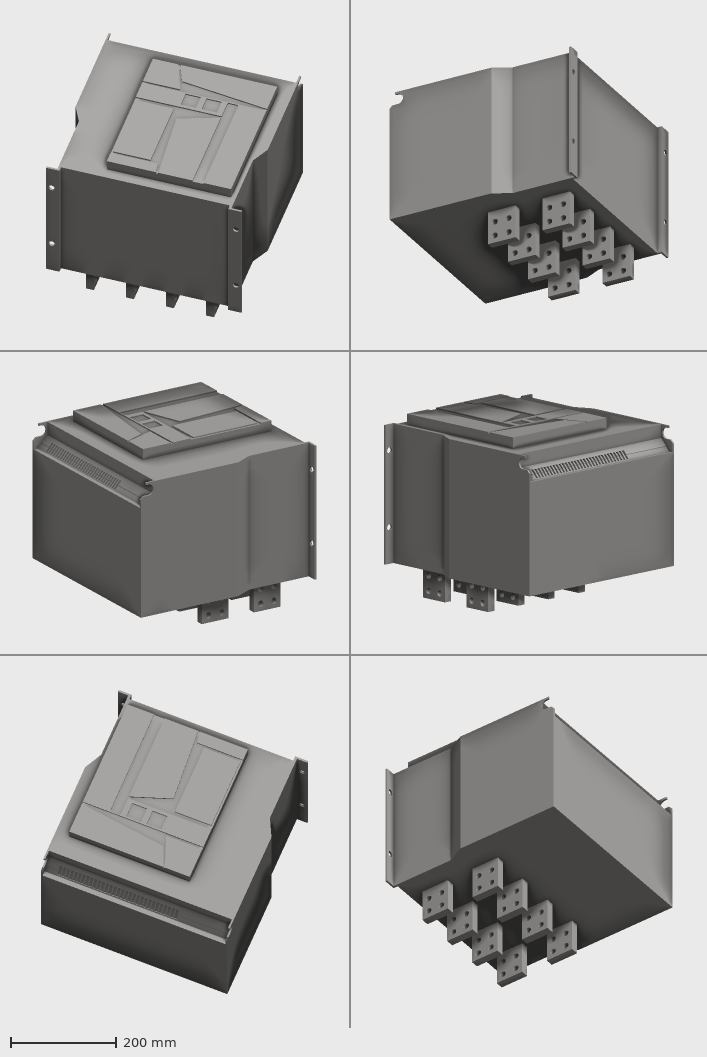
import cadquery as cq


depth = 394.0
housing_height = 272.0
rear_width = 383.8
front_width = 347.5
taper_start = 138.3
taper_end = 174.0
side_wall = 3.5
flange_leg = 5.0
flange_thickness = 4.0
front_recess = 10.0

flange_span = 390.0
flange_hole_diameter = 12.2
flange_hole_spacing = 368.0
flange_hole_heights = (71.0, 221.0)

notch_radius = 11.0
notch_depth = 28.8
notch_height = 256.0
lip_setback = 12.0
corner_chamfer = 6.0
slope_front = 31.5
slope_rear = 10.0
slope_step_setback = 18.0
slope_step = 1.0

vent_count = 31
vent_row_width = 245.0
vent_width = 5.0
vent_rear = 11.0
vent_front = 25.0
vent_depth = 4.0

panel_left = -84.0
panel_right = 164.3
panel_front = 31.0
panel_rear = 320.5
panel_height = 22.0
relief = 2.8
relief_draft = 1.0
panel_base_height = panel_height - relief

terminal_pitch = 80.0
terminal_count = 4
terminal_thickness = 16.0
terminal_width = 60.0
terminal_length = 69.0
terminal_row_fronts = (38.2, 156.0)
terminal_hole_diameter = 12.2
terminal_hole_spacing = 30.0

rear_half = rear_width / 2
front_half = front_width / 2
flange_half = flange_span / 2
slope_top = notch_height - notch_radius


def box(x_range, y_range, z_range):
    """Block filling the given ranges."""
    size = [high - low for low, high in (x_range, y_range, z_range)]
    corner = (x_range[0], y_range[0], z_range[0])
    return cq.Workplane("XY").box(*size, centered=False).translate(corner)


def make_housing():
    """Tapered housing whose side walls turn outward into flanges at the front."""
    right_side = [
        (front_half - flange_leg, front_recess),
        (front_half - flange_leg, 0),
        (flange_half, 0),
        (flange_half, flange_thickness),
        (front_half, flange_thickness),
        (front_half, taper_start),
        (rear_half, taper_end),
        (rear_half, depth),
    ]
    left_side = [(-x, y) for x, y in reversed(right_side)]
    return cq.Workplane("XY").polyline(right_side + left_side).close().extrude(housing_height)


def flange_holes():
    """Mounting holes through both flanges."""
    centres = [(side * flange_hole_spacing / 2, z) for side in (-1, 1) for z in flange_hole_heights]
    drills = cq.Workplane("XZ").pushPoints(centres).circle(flange_hole_diameter / 2)
    return drills.extrude(-flange_thickness)


def side_notch():
    """Round-ended notch through the rear top corner of both side walls."""
    arc_centre_y = depth - notch_depth + notch_radius
    notch_top = notch_height + notch_radius
    notch_bottom = notch_height - notch_radius
    profile = (
        cq.Workplane("YZ")
        .moveTo(depth, housing_height)
        .lineTo(depth - lip_setback, housing_height)
        .lineTo(depth - lip_setback, notch_top)
        .lineTo(arc_centre_y, notch_top)
        .threePointArc((depth - notch_depth, notch_height), (arc_centre_y, notch_bottom))
        .lineTo(depth - corner_chamfer, notch_bottom)
        .lineTo(depth, notch_bottom - corner_chamfer)
        .close()
    )
    return profile.extrude(rear_half, both=True)


def slope_height(setback):
    """Height of the 45 degree slope at a distance in front of the rear face."""
    return slope_top - (slope_front - setback)


def rear_opening():
    """Space between the side walls above the stepped 45 degree slope and the rear ledge."""
    outline = [
        (slope_front, housing_height),
        (slope_front, slope_top),
        (slope_step_setback, slope_height(slope_step_setback)),
        (slope_step_setback, slope_height(slope_step_setback) - slope_step),
        (slope_rear, slope_height(slope_rear) - slope_step),
        (0, slope_height(slope_rear) - slope_step),
        (0, housing_height),
    ]
    points = [(depth - setback, z) for setback, z in outline]
    return cq.Workplane("YZ").polyline(points).close().extrude(rear_half - side_wall, both=True)


def vent_slots():
    """Row of slots sunk square to the slope, centred on the operating panel."""
    sink = vent_depth / 2**0.5
    profile = [
        (depth - vent_rear, slope_height(vent_rear)),
        (depth - vent_front, slope_height(vent_front)),
        (depth - vent_front - sink, slope_height(vent_front) - sink),
        (depth - vent_rear - sink, slope_height(vent_rear) - sink),
    ]
    slot = cq.Workplane("YZ").polyline(profile).close().extrude(vent_width)
    row_left = (panel_left + panel_right - vent_row_width) / 2
    pitch = (vent_row_width - vent_width) / (vent_count - 1)
    slots = [slot.translate((row_left + i * pitch, 0, 0)).val() for i in range(vent_count)]
    return cq.Workplane(cq.Compound.makeCompound(slots))


def make_panel():
    """Operating panel: a slab carrying drafted raised fields, with recessed buttons and a groove."""
    relief_bottom = housing_height + panel_base_height
    relief_range = (relief_bottom, relief_bottom + relief)
    panel = box((panel_left, panel_right), (panel_front, panel_rear), (housing_height, relief_bottom))

    groove_left = 87.5
    groove_right = 109.0
    groove_rear = 250.5
    upper_edge = 257.3
    band_rear = 252.5
    band_front = 212.5
    raised_outlines = [
        [(panel_left, panel_rear), (-32.7, panel_rear), (-9.5, upper_edge), (panel_left, upper_edge)],
        [(-29.5, panel_rear), (-13.0, 279.5), (panel_right, upper_edge), (panel_right, panel_rear)],
        [
            (panel_left, band_rear),
            (panel_right, band_rear),
            (panel_right, panel_front),
            (groove_left, panel_front),
            (groove_left, band_front),
            (panel_left, band_front),
        ],
        [(-80.5, 204.5), (-5.5, 204.5), (-5.5, 59.5), (-80.5, 59.5)],
        [(7.5, 180.5), (groove_left, 209.0), (groove_left, panel_front), (18.5, panel_front)],
        [(panel_left, 54.8), (11.0, 54.8), (14.5, panel_front), (panel_left, panel_front)],
    ]
    for outline in raised_outlines:
        field = cq.Workplane("XY").workplane(offset=relief_bottom).polyline(outline).close()
        panel = panel.union(field.extrude(relief, taper=relief_draft))

    groove_corner = 4.0
    groove = box((groove_left, groove_right), (panel_front, groove_rear), relief_range)
    panel = panel.cut(groove.edges("|Z and >Y").fillet(groove_corner))

    button_size = 30.5
    button_front = 219.0
    for button_left in (4.0, 45.7):
        button_x = (button_left, button_left + button_size)
        button_y = (button_front, button_front + button_size)
        panel = panel.cut(box(button_x, button_y, relief_range))
    return panel


def make_terminals():
    """Two rows of flat terminals under the housing, each with a square of four holes."""
    bar = (
        cq.Workplane("YZ")
        .rect(terminal_width, terminal_length)
        .extrude(terminal_thickness / 2, both=True)
    )
    holes = (
        cq.Workplane("YZ")
        .rect(terminal_hole_spacing, terminal_hole_spacing, forConstruction=True)
        .vertices()
        .circle(terminal_hole_diameter / 2)
        .extrude(terminal_thickness / 2, both=True)
    )
    hole_height = terminal_width / 2
    holes = holes.translate((0, 0, hole_height - terminal_length / 2))
    terminal = bar.cut(holes)
    bars = []
    for row_front in terminal_row_fronts:
        for i in range(terminal_count):
            x = (i - (terminal_count - 1) / 2) * terminal_pitch
            y = row_front + terminal_width / 2
            bars.append(terminal.translate((x, y, -terminal_length / 2)))
    return bars


result = make_housing()
for void in (flange_holes(), side_notch(), rear_opening(), vent_slots()):
    result = result.cut(void)
result = result.union(make_panel())
for terminal in make_terminals():
    result = result.union(terminal)